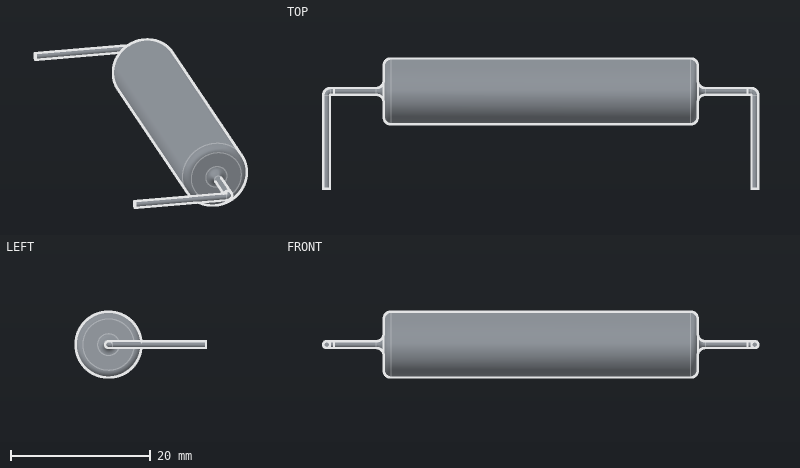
import cadquery as cq
import math

overall_length = 62.6
housing_length = 45.2
housing_diameter = 9.5
housing_edge_radius = 1.05
lead_diameter = 1.0
lead_reach = 14.0
bend_radius = 0.55
flare_fillet = 1.05
pin_end_x = 29.75

housing_radius = housing_diameter / 2
housing_half = housing_length / 2
lead_radius = lead_diameter / 2
leg_x = overall_length / 2 - lead_radius
bend_start_x = leg_x - bend_radius


def make_housing():
    """Revolve the rounded cylinder with a flared end pin at each end."""
    diagonal = math.sqrt(0.5)
    flare_radius = lead_radius + flare_fillet
    flare_offset = flare_fillet * (1 - diagonal)
    edge_offset = housing_edge_radius * (1 - diagonal)
    edge_start_radius = housing_radius - housing_edge_radius
    barrel_half = housing_half - housing_edge_radius
    profile = (
        cq.Workplane("XY")
        .moveTo(-pin_end_x, 0)
        .lineTo(-pin_end_x, lead_radius)
        .lineTo(-housing_half - flare_fillet, lead_radius)
        .threePointArc(
            (-housing_half - flare_offset, lead_radius + flare_offset),
            (-housing_half, flare_radius),
        )
        .lineTo(-housing_half, edge_start_radius)
        .threePointArc(
            (-housing_half + edge_offset, housing_radius - edge_offset),
            (-barrel_half, housing_radius),
        )
        .lineTo(barrel_half, housing_radius)
        .threePointArc(
            (housing_half - edge_offset, housing_radius - edge_offset),
            (housing_half, edge_start_radius),
        )
        .lineTo(housing_half, flare_radius)
        .threePointArc(
            (housing_half + flare_offset, lead_radius + flare_offset),
            (housing_half + flare_fillet, lead_radius),
        )
        .lineTo(pin_end_x, lead_radius)
        .lineTo(pin_end_x, 0)
        .close()
    )
    return profile.revolve(360, (0, 0, 0), (1, 0, 0))


def make_lead(side):
    """Sweep one round wire from the end pin, around the bend and out to -Y; side is -1 or +1."""
    centreline = (
        cq.Workplane("XY")
        .moveTo(side * pin_end_x, 0)
        .lineTo(side * bend_start_x, 0)
        .tangentArcPoint((side * leg_x, -bend_radius), relative=False)
        .lineTo(side * leg_x, -lead_reach)
    )
    section = cq.Workplane("YZ", origin=(side * pin_end_x, 0, 0)).circle(lead_radius)
    return section.sweep(centreline)


housing = make_housing()
leads = [make_lead(side) for side in (-1, 1)]

result = cq.Compound.makeCompound([housing.val(), *[lead.val() for lead in leads]])